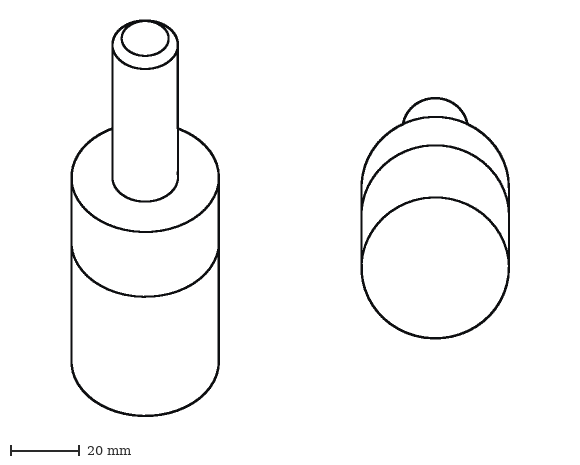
import cadquery as cq
import math

overall_length = 152.4
shank_diameter = 19.05
shank_length = 60.0
shank_chamfer = 2.7
body_diameter = 42.8625
collar_length = 28.0
point_angle = 118.0

shank_radius = shank_diameter / 2
body_radius = body_diameter / 2
point_height = body_radius / math.tan(math.radians(point_angle / 2))
shoulder_z = overall_length - shank_length
joint_z = shoulder_z - collar_length


def revolve_about_z(half_profile):
    """Turn a closed (radius, z) outline around the Z axis into a solid."""
    return cq.Workplane("XZ").polyline(half_profile).close().revolve(360, (0, 0, 0), (0, 1, 0))


def make_holder():
    """Collar with a chamfered shank rising from its centre."""
    return revolve_about_z([
        (0, joint_z),
        (body_radius, joint_z),
        (body_radius, shoulder_z),
        (shank_radius, shoulder_z),
        (shank_radius, overall_length - shank_chamfer),
        (shank_radius - shank_chamfer, overall_length),
        (0, overall_length),
    ])


def make_tip():
    """Cylinder below the collar, ending in a conical point at the origin."""
    return revolve_about_z([
        (0, 0),
        (body_radius, point_height),
        (body_radius, joint_z),
        (0, joint_z),
    ])


holder = make_holder()
tip = make_tip()

result = cq.Compound.makeCompound([holder.val(), tip.val()])